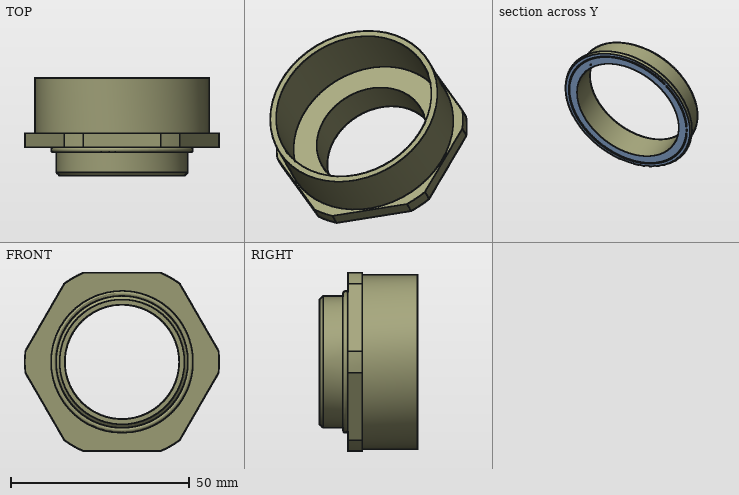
import cadquery as cq
import math

across_flats = 50.0
corner_diameter = 54.56
flange_thickness = 4.0

body_diameter = 49.0
body_length = 15.5

spigot_diameter = 37.0
spigot_length = 8.0
spigot_chamfer = 1.0

bore_diameter = 32.0
socket_diameter = 45.5
socket_depth = 17.0

ring_section_diameter = 1.5
ring_embed = 0.1

flange_front = 0.0
flange_back = flange_front + flange_thickness
body_end = flange_back + body_length
spigot_end = flange_front - spigot_length
socket_floor = body_end - socket_depth


def cylinder(diameter, y_start, y_end):
    """Solid cylinder on the Y axis between two positions."""
    circle = cq.Workplane("XZ", origin=(0, y_end, 0)).circle(diameter / 2)
    return circle.extrude(y_end - y_start)


def make_flange():
    """Hexagon with flats at the top and bottom and its corners turned round."""
    sharp_diameter = across_flats / math.cos(math.pi / 6)
    hexagon = cq.Workplane("XZ", origin=(0, flange_back, 0)).polygon(6, sharp_diameter)
    corner_round = cylinder(corner_diameter, flange_front, flange_back)
    return hexagon.extrude(flange_thickness).intersect(corner_round)


def make_spigot():
    """Spigot with a chamfered outer edge at its free end."""
    spigot = cylinder(spigot_diameter, spigot_end, flange_back)
    return spigot.faces("<Y").edges().chamfer(spigot_chamfer)


def make_ring():
    """Round-section ring in the corner between the spigot and the flange."""
    section_radius = ring_section_diameter / 2
    centre_offset = section_radius - ring_embed
    centre_radius = spigot_diameter / 2 + centre_offset
    section = cq.Workplane("XY").center(-centre_radius, flange_front - centre_offset).circle(section_radius)
    return section.revolve(360, (centre_radius, 0, 0), (centre_radius, 1, 0))


body = cylinder(body_diameter, flange_front, body_end)
outside = make_flange().union(body).union(make_spigot()).union(make_ring())

bore = cylinder(bore_diameter, spigot_end, body_end)
socket = cylinder(socket_diameter, socket_floor, body_end)

result = outside.cut(bore).cut(socket)